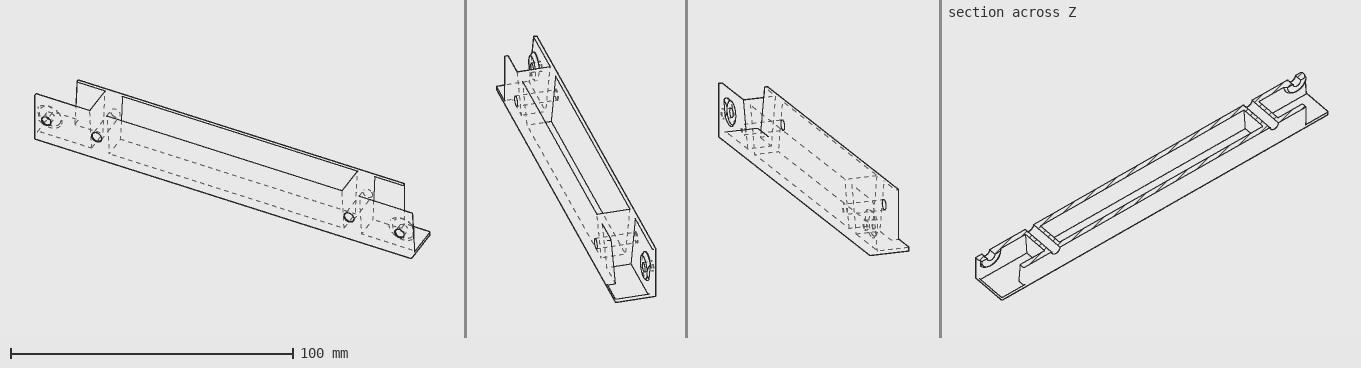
import cadquery as cq

LENGTH = 149.5
WIDTH = 15.0
HEIGHT = 20.0

FLOOR_THICKNESS = 1.5
WALL_TOP_THICKNESS = 1.4
WALL_BASE_THICKNESS = 3.0
REAR_WALL_LENGTH = 129.5

END_RADIUS = 0.5
RIM_RADIUS = 0.2

BLOCK_OFFSET = 50.0
BLOCK_LENGTH = 7.0
BLOCK_HOLE_DIAMETER = 3.7

BOSS_OFFSET = 70.0
BOSS_HEIGHT = 3.2
BOSS_FLANK = 1.2
BOSS_BASE_RADIUS = 5.5
BOSS_HOLE_DIAMETER = 3.4

COUNTERSINK = 0.2

HOLE_HEIGHT = HEIGHT / 2
FRONT = -WIDTH / 2
REAR = WIDTH / 2


def make_front_angle():
    """L-shaped floor and front wall over the full length; the inner wall ends are rounded."""
    section = [
        (FRONT, 0),
        (REAR, 0),
        (REAR, FLOOR_THICKNESS),
        (FRONT + WALL_BASE_THICKNESS, FLOOR_THICKNESS),
        (FRONT + WALL_TOP_THICKNESS, HEIGHT),
        (FRONT, HEIGHT),
    ]
    angle = cq.Workplane("YZ").polyline(section).close().extrude(LENGTH / 2, both=True)
    wall_inner_ends = angle.faces("<X or >X").edges("not(|Y or |Z)")
    return wall_inner_ends.fillet(END_RADIUS)


def make_rear_wall():
    """Shorter tapered rear wall with rounded ends, reaching down into the floor."""
    section = [
        (REAR, 0),
        (REAR, HEIGHT),
        (REAR - WALL_TOP_THICKNESS, HEIGHT),
        (REAR - WALL_BASE_THICKNESS, FLOOR_THICKNESS),
        (REAR - WALL_BASE_THICKNESS, 0),
    ]
    wall = cq.Workplane("YZ").polyline(section).close().extrude(REAR_WALL_LENGTH / 2, both=True)
    return wall.faces("<X or >X").edges("not(|Y)").fillet(END_RADIUS)


def make_block(x):
    """Full-height cross block centred at x."""
    block = cq.Workplane("XY").box(BLOCK_LENGTH, WIDTH, HEIGHT, centered=(True, True, False))
    return block.faces(">Z").edges("|Y").fillet(RIM_RADIUS).translate((x, 0, 0))


def make_boss(x):
    """Round boss rising from the front wall, trimmed to the length of the channel."""
    boss = cq.Workplane("XZ", origin=(x, FRONT, HOLE_HEIGHT)).circle(BOSS_BASE_RADIUS).extrude(-BOSS_HEIGHT)
    boss = boss.faces(">Y").edges().chamfer(BOSS_FLANK)
    trim = cq.Workplane("XY").box(LENGTH - 2 * END_RADIUS, WIDTH, HEIGHT, centered=(True, True, False))
    return boss.intersect(trim)


def make_hole(x, diameter):
    """Cutter for a hole along Y through the whole width, countersunk at the front face."""
    radius = diameter / 2
    bore = cq.Solid.makeCylinder(
        radius, WIDTH, pnt=cq.Vector(x, FRONT, HOLE_HEIGHT), dir=cq.Vector(0, 1, 0)
    )
    sink = cq.Solid.makeCone(
        radius + COUNTERSINK,
        radius,
        COUNTERSINK,
        pnt=cq.Vector(x, FRONT, HOLE_HEIGHT),
        dir=cq.Vector(0, 1, 0),
    )
    return cq.Workplane(bore.fuse(sink))


def make_envelope():
    """Bounding bar with rounded upright corners and finely rounded top and bottom rims."""
    bar = cq.Workplane("XY").box(LENGTH, WIDTH, HEIGHT, centered=(True, True, False))
    bar = bar.edges("|Z").fillet(END_RADIUS)
    return bar.faces("<Z or >Z").edges().fillet(RIM_RADIUS)


body = make_front_angle().union(make_rear_wall())
for side in (-1, 1):
    body = body.union(make_block(side * BLOCK_OFFSET))
    body = body.union(make_boss(side * BOSS_OFFSET))

body = body.intersect(make_envelope())

for side in (-1, 1):
    body = body.cut(make_hole(side * BLOCK_OFFSET, BLOCK_HOLE_DIAMETER))
    body = body.cut(make_hole(side * BOSS_OFFSET, BOSS_HOLE_DIAMETER))

result = body